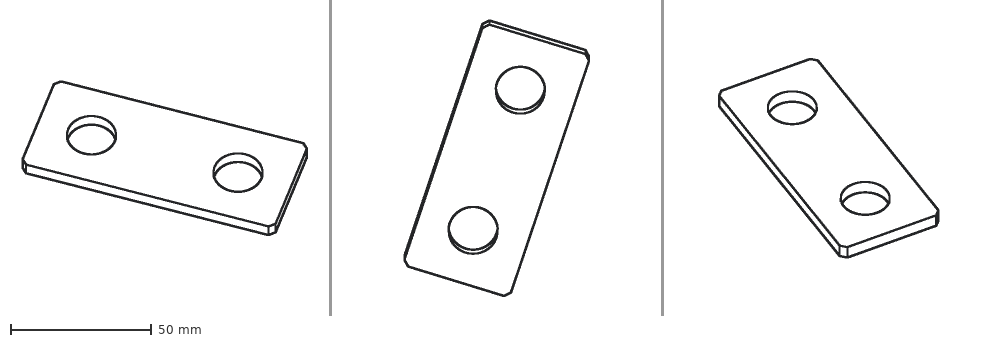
import cadquery as cq

length = 95.0
width = 40.0
thickness = 5.0
corner_chamfer = 2.0

hole_diameter = 17.5
hole_spacing = 55.0

plate = (
    cq.Workplane("XY")
    .box(length, width, thickness)
    .edges("|Z")
    .chamfer(corner_chamfer)
)

hole_centers = [(-hole_spacing / 2, 0), (hole_spacing / 2, 0)]
result = (
    plate.faces(">Z")
    .workplane()
    .pushPoints(hole_centers)
    .hole(hole_diameter)
)